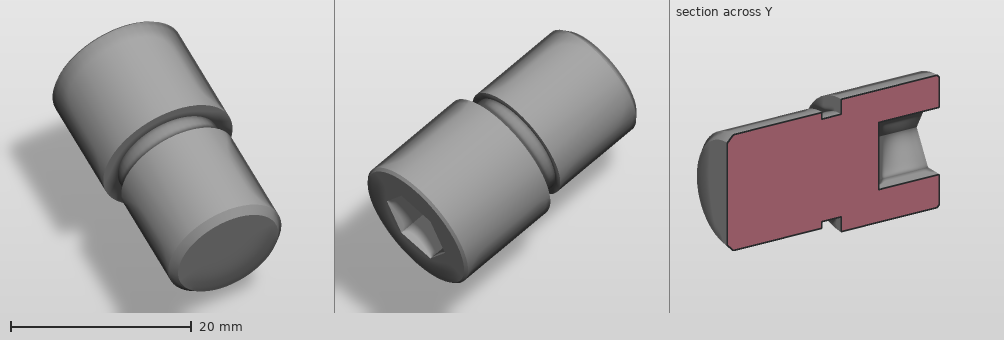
import cadquery as cq
import math

total_length = 28.0
head_diameter = 16.0
head_length = 13.0
head_chamfer = 0.3
groove_diameter = 12.4
groove_width = 2.5
shank_diameter = 14.0
shank_chamfer = 0.8
hex_across_flats = 8.0
hex_depth = 8.0

hex_across_corners = hex_across_flats / math.cos(math.pi / 6)
shank_start = head_length + groove_width
shank_length = total_length - shank_start


def cylinder(start, length, diameter):
    """Solid cylinder along X, beginning at the given X position."""
    return cq.Workplane("YZ", origin=(start, 0, 0)).circle(diameter / 2).extrude(length)


def hex_socket():
    """Hexagonal prism with corners on the Y axis and flats facing +Z and -Z."""
    return (
        cq.Workplane("YZ")
        .polygon(6, hex_across_corners)
        .extrude(hex_depth)
    )


head = cylinder(0, head_length, head_diameter).faces("<X").chamfer(head_chamfer)
groove_core = cylinder(head_length, groove_width, groove_diameter)
shank = cylinder(shank_start, shank_length, shank_diameter).faces(">X").chamfer(shank_chamfer)

result = head.union(groove_core).union(shank).cut(hex_socket())